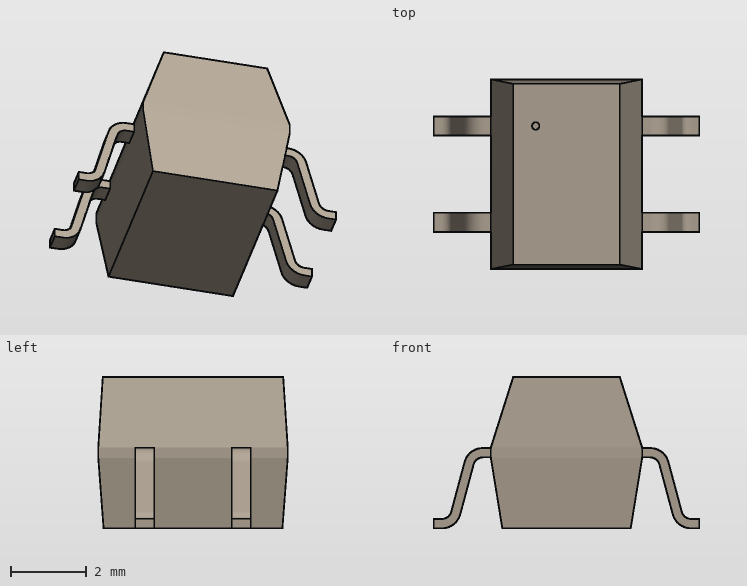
import cadquery as cq
import math

overall_length = 7.0
overall_height = 3.99

band_length = 3.99
band_width = 5.0
band_height = 0.28
top_length = 2.815
top_width = 4.76
bottom_length = 3.39
bottom_width = 4.72

lead_thickness = 0.25
lead_width = 0.51
lead_pitch = 2.54
lead_slope = math.radians(15)
inner_bend_radius = 0.25
foot_length = 0.22

marker_diameter = 0.195
marker_depth = 0.05
marker_x = -0.81
marker_y = lead_pitch / 2

mid_height = overall_height / 2
band_bottom = mid_height - band_height / 2
band_top = mid_height + band_height / 2


def tapered_block(z_start, start_size, z_end, end_size):
    """Block that changes evenly from one rectangle to another along Z."""
    return (
        cq.Workplane("XY", origin=(0, 0, z_start))
        .rect(*start_size)
        .workplane(offset=z_end - z_start)
        .rect(*end_size)
        .loft(ruled=True)
    )


def make_marker():
    """Round pin-one disc, flush with the top face."""
    return (
        cq.Workplane("XY", origin=(marker_x, marker_y, overall_height - marker_depth))
        .circle(marker_diameter / 2)
        .extrude(marker_depth)
    )


def make_housing(marker):
    """Moulded housing with a recess that fits the marker."""
    band_size = (band_length, band_width)
    band = cq.Workplane("XY", origin=(0, 0, band_bottom)).rect(*band_size).extrude(band_height)
    upper = tapered_block(band_top, band_size, overall_height, (top_length, top_width))
    lower = tapered_block(0, (bottom_length, bottom_width), band_bottom, band_size)
    return band.union(upper).union(lower).cut(marker)


def make_left_lead(y):
    """Lead on the -X side: a flat strip swept along its bent centreline."""
    bend_radius = inner_bend_radius + lead_thickness / 2
    bend_run = bend_radius * math.cos(lead_slope)
    bend_drop = bend_radius * (1 - math.sin(lead_slope))
    foot_z = lead_thickness / 2
    leg_drop = mid_height - foot_z - 2 * bend_drop
    leg_run = leg_drop * math.tan(lead_slope)
    shoulder_x = -band_length / 2
    tip_x = -overall_length / 2
    upper_bend_x = tip_x + foot_length + 2 * bend_run + leg_run

    centreline = (
        cq.Workplane("XZ", origin=(0, y, 0))
        .moveTo(shoulder_x, mid_height)
        .lineTo(upper_bend_x, mid_height)
        .tangentArcPoint((-bend_run, -bend_drop), relative=True)
        .line(-leg_run, -leg_drop)
        .tangentArcPoint((-bend_run, -bend_drop), relative=True)
        .lineTo(tip_x, foot_z)
    )
    return (
        cq.Workplane("YZ", origin=(shoulder_x, y, mid_height))
        .rect(lead_width, lead_thickness)
        .sweep(centreline)
    )


marker = make_marker()
housing = make_housing(marker)

leads = []
for y in (-lead_pitch / 2, lead_pitch / 2):
    left_lead = make_left_lead(y)
    leads.append(left_lead.val())
    leads.append(left_lead.rotate((0, 0, 0), (0, 0, 1), 180).val())

result = cq.Compound.makeCompound([housing.val(), marker.val(), *leads])